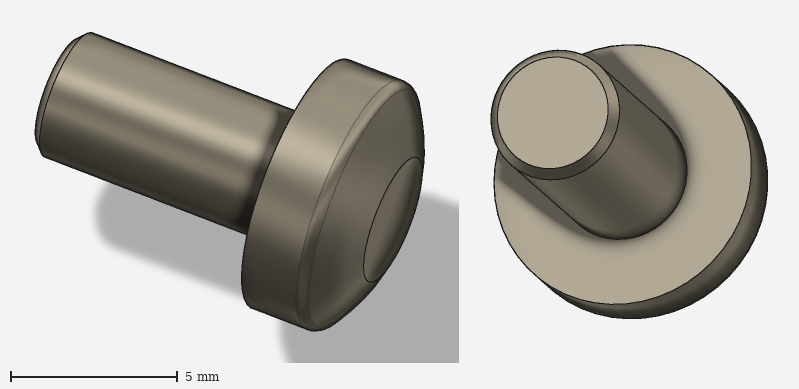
import cadquery as cq

total_length = 11.1
shank_length = 8.0
shank_diameter = 4.0
tip_chamfer = 0.28

head_diameter = 8.0
rim_length = 1.82
edge_length = 0.33
edge_inset = 0.17
crown_diameter = 4.0

shank_radius = shank_diameter / 2
head_radius = head_diameter / 2
crown_radius = crown_diameter / 2
rim_end = shank_length + rim_length
dome_start = rim_end + edge_length
dome_radius = head_radius - edge_inset


def make_shank():
    """Cylinder from the origin along +X, chamfered at its free end."""
    return (
        cq.Workplane("YZ")
        .circle(shank_radius)
        .extrude(shank_length)
        .faces("<X")
        .chamfer(tip_chamfer)
    )


def make_head():
    """Half profile of rim, tangent rounded edge, tangent dome and flat crown, revolved about X."""
    return (
        cq.Workplane("XY")
        .moveTo(shank_length, 0)
        .lineTo(shank_length, head_radius)
        .lineTo(rim_end, head_radius)
        .tangentArcPoint((dome_start, dome_radius), relative=False)
        .tangentArcPoint((total_length, crown_radius), relative=False)
        .lineTo(total_length, 0)
        .close()
        .revolve(360, (0, 0, 0), (1, 0, 0))
    )


shank = make_shank()
head = make_head()
result = cq.Compound.makeCompound([shank.val(), head.val()])